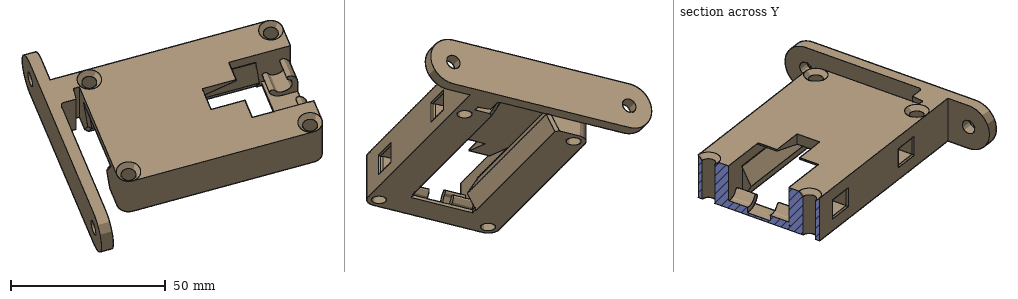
import cadquery as cq
import math

HEIGHT = 16.3
LENGTH = 82.1
SCREW_HOLE = 4.8

PLATE_THICKNESS = 4.1
PLATE_HOLE_SPACING = 63.52
PLATE_LENGTH = PLATE_HOLE_SPACING + HEIGHT

BLOCK_WIDTH = 47.4
BLOCK_LENGTH = 70.0
BLOCK_FRONT = LENGTH - BLOCK_LENGTH
BLOCK_SIDE = BLOCK_WIDTH / 2
CORNER_RADIUS = 4.0
HOLE_INSET = 4.0
COUNTERSINK = 7.9

ARM_NECK_X = -17.9
ARM_NECK_Y = 10.1
ARM_WIDE_X = -13.55
ARM_STEP_Y = 9.5
ARM_FILLET = 1.2

CHANNEL_TOP_HALF = 11.97
CHANNEL_TOP_Z = 12.1
WAIST_HALF = 8.3
WAIST_Z = 5.6
CHANNEL_BOTTOM_HALF = 11.45
CHANNEL_END = 70.3
MOUTH_CHAMFER = 1.0

NOTCH_HALF = 11.75
OPENING_HALF = 11.05
NOTCH_FRONT = 61.1
SLOT_HALF = 4.4
SLOT_FRONT = 49.5
SLOPE_AT_NOTCH_Z = WAIST_Z + (CHANNEL_TOP_Z - WAIST_Z) * (NOTCH_HALF - WAIST_HALF) / (
    CHANNEL_TOP_HALF - WAIST_HALF
)
RAMP_FRONT = 48.5
RAMP_LIP = 0.6

CLIP_OUTER_RADIUS = 5.0
CLIP_INNER_RADIUS = 3.1
CLIP_Y = LENGTH - CLIP_OUTER_RADIUS
CLIP_Z = 6.1
FLOOR_TOP = CLIP_Z - CLIP_OUTER_RADIUS
FLOOR_FRONT = CLIP_Y - CLIP_OUTER_RADIUS
CLIP_REAR_TIP_ANGLE = 56.0
CLIP_FRONT_TIP_ANGLE = 203.0

POCKET_LENGTH = 9.1
POCKET_HEIGHT = 7.2
POCKET_Z = 8.15
POCKET_CENTERS_Y = (28.05, 66.05)
POCKET_DEPTH = 6.3
POCKET_CHAMFER = 0.5
POCKET_LEAD_STEP = 0.35
POCKET_LEAD_DEPTH = 1.3


def box(x0, x1, y0, y1, z0, z1):
    """Axis-aligned box between two opposite corners."""
    return cq.Workplane("XY").box(x1 - x0, y1 - y0, z1 - z0, centered=False).translate((x0, y0, z0))


def plate():
    """Round-ended plate with a screw hole on the axis of each end."""
    return (
        cq.Workplane("XZ")
        .center(0, HEIGHT / 2)
        .slot2D(PLATE_LENGTH, HEIGHT)
        .pushPoints([(-PLATE_HOLE_SPACING / 2, 0), (PLATE_HOLE_SPACING / 2, 0)])
        .circle(SCREW_HOLE / 2)
        .extrude(-PLATE_THICKNESS)
    )


def arm():
    """Full-height arm, filleted at the plate and narrowed to a neck where it meets the block."""
    root = [
        (-BLOCK_SIDE, PLATE_THICKNESS / 2),
        (ARM_WIDE_X + ARM_FILLET, PLATE_THICKNESS / 2),
        (ARM_WIDE_X + ARM_FILLET, PLATE_THICKNESS),
    ]
    root_middle = ARM_FILLET * (1 - math.sqrt(0.5))
    return (
        cq.Workplane("XY")
        .polyline(root)
        .threePointArc(
            (ARM_WIDE_X + root_middle, PLATE_THICKNESS + root_middle),
            (ARM_WIDE_X, PLATE_THICKNESS + ARM_FILLET),
        )
        .lineTo(ARM_WIDE_X, ARM_STEP_Y)
        .lineTo(ARM_NECK_X, ARM_NECK_Y)
        .lineTo(ARM_NECK_X, BLOCK_FRONT + CORNER_RADIUS)
        .lineTo(-BLOCK_SIDE, BLOCK_FRONT + CORNER_RADIUS)
        .close()
        .extrude(HEIGHT)
    )


def block():
    """Main block with rounded vertical corners."""
    body = box(-BLOCK_SIDE, BLOCK_SIDE, BLOCK_FRONT, LENGTH, 0, HEIGHT)
    return body.edges("|Z").fillet(CORNER_RADIUS)


def drill_block_holes(body):
    """Countersunk screw hole in each corner of the block."""
    hole_x = BLOCK_SIDE - HOLE_INSET
    centers = [(x, y) for x in (-hole_x, hole_x) for y in (BLOCK_FRONT + HOLE_INSET, LENGTH - HOLE_INSET)]
    return (
        body.faces(">Z")
        .workplane(origin=(0, 0, HEIGHT))
        .pushPoints(centers)
        .cskHole(SCREW_HOLE, COUNTERSINK, 90)
    )


def hourglass(y):
    """Closed hourglass outline of the channel at the given Y."""
    right = [
        (CHANNEL_BOTTOM_HALF, 0),
        (WAIST_HALF, WAIST_Z),
        (CHANNEL_TOP_HALF, CHANNEL_TOP_Z),
    ]
    left = [(-x, z) for x, z in reversed(right)]
    return cq.Workplane("XZ", origin=(0, y, 0)).polyline(right + left).close()


def channel():
    """Channel with a chamfered mouth and a ceiling that ramps up towards the notch."""
    passage = hourglass(BLOCK_FRONT).extrude(-(CHANNEL_END - BLOCK_FRONT))
    mouth_outline = hourglass(BLOCK_FRONT).offset2D(MOUTH_CHAMFER, kind="intersection").val()
    throat_outline = hourglass(BLOCK_FRONT + MOUTH_CHAMFER).val()
    mouth = cq.Workplane(cq.Solid.makeLoft([mouth_outline, throat_outline], True))
    ramp = (
        cq.Workplane("YZ", origin=(-NOTCH_HALF, 0, 0))
        .polyline([
            (RAMP_FRONT, CHANNEL_TOP_Z),
            (NOTCH_FRONT, CHANNEL_TOP_Z),
            (NOTCH_FRONT, HEIGHT - RAMP_LIP),
        ])
        .close()
        .extrude(2 * NOTCH_HALF)
    )
    return passage.union(mouth).union(ramp)


def notch():
    """Stepped rear notch that leaves a floor under the clip."""
    slot = box(-SLOT_HALF, SLOT_HALF, SLOT_FRONT, NOTCH_FRONT, CHANNEL_TOP_Z, HEIGHT)
    upper = box(-NOTCH_HALF, NOTCH_HALF, NOTCH_FRONT, LENGTH, SLOPE_AT_NOTCH_Z, HEIGHT)
    lower = box(-NOTCH_HALF, NOTCH_HALF, CHANNEL_END, LENGTH, FLOOR_TOP, HEIGHT)
    opening = box(-OPENING_HALF, OPENING_HALF, CHANNEL_END, FLOOR_FRONT, 0, FLOOR_TOP)
    return slot.union(upper).union(lower).union(opening)


def clip_point(radius, angle):
    """Point of the clip profile in Y and Z, its angle measured from +Y towards +Z."""
    turn = math.radians(angle)
    return (CLIP_Y + radius * math.cos(turn), CLIP_Z + radius * math.sin(turn))


def clip_half(x_start):
    """One half of the clip: a C with round tips, backed by a solid heel at the rear."""
    bottom_angle = 270.0
    width = NOTCH_HALF - SLOT_HALF
    profile = (
        cq.Workplane("YZ", origin=(x_start, 0, 0))
        .moveTo(*clip_point(CLIP_OUTER_RADIUS, CLIP_REAR_TIP_ANGLE))
        .threePointArc(
            clip_point(CLIP_OUTER_RADIUS, CLIP_REAR_TIP_ANGLE / 2),
            clip_point(CLIP_OUTER_RADIUS, 0),
        )
        .lineTo(LENGTH, 0)
        .lineTo(CLIP_Y, 0)
        .lineTo(*clip_point(CLIP_OUTER_RADIUS, bottom_angle))
        .threePointArc(
            clip_point(CLIP_OUTER_RADIUS, (bottom_angle + CLIP_FRONT_TIP_ANGLE) / 2),
            clip_point(CLIP_OUTER_RADIUS, CLIP_FRONT_TIP_ANGLE),
        )
        .tangentArcPoint(clip_point(CLIP_INNER_RADIUS, CLIP_FRONT_TIP_ANGLE), relative=False)
        .threePointArc(
            clip_point(CLIP_INNER_RADIUS, bottom_angle),
            clip_point(CLIP_INNER_RADIUS, CLIP_REAR_TIP_ANGLE),
        )
        .tangentArcPoint(clip_point(CLIP_OUTER_RADIUS, CLIP_REAR_TIP_ANGLE), relative=False)
        .close()
    )
    return profile.extrude(width)


def side_pocket(center_y):
    """Rectangular pocket in the -X side with a chamfered rim and a slanted lead-in on its +Y wall."""
    front = center_y - POCKET_LENGTH / 2 + POCKET_CHAMFER
    rear = center_y + POCKET_LENGTH / 2 - POCKET_CHAMFER
    bottom = POCKET_Z - POCKET_HEIGHT / 2 + POCKET_CHAMFER
    inner_height = POCKET_HEIGHT - 2 * POCKET_CHAMFER
    cavity = (
        cq.Workplane("XY", origin=(-BLOCK_SIDE, 0, bottom))
        .polyline([
            (0, front),
            (POCKET_DEPTH, front),
            (POCKET_DEPTH, rear - POCKET_LEAD_STEP),
            (POCKET_LEAD_DEPTH, rear - POCKET_LEAD_STEP),
            (POCKET_CHAMFER, rear),
            (0, rear),
        ])
        .close()
        .extrude(inner_height)
    )
    rim = (
        cq.Workplane("YZ", origin=(-BLOCK_SIDE, center_y, POCKET_Z))
        .rect(POCKET_LENGTH, POCKET_HEIGHT)
        .extrude(POCKET_CHAMFER, taper=45)
    )
    return cavity.union(rim)


result = drill_block_holes(block().union(arm())).union(plate())
result = result.cut(channel()).cut(notch())
for pocket_y in POCKET_CENTERS_Y:
    result = result.cut(side_pocket(pocket_y))
for clip_start in (-NOTCH_HALF, SLOT_HALF):
    result = result.union(clip_half(clip_start))